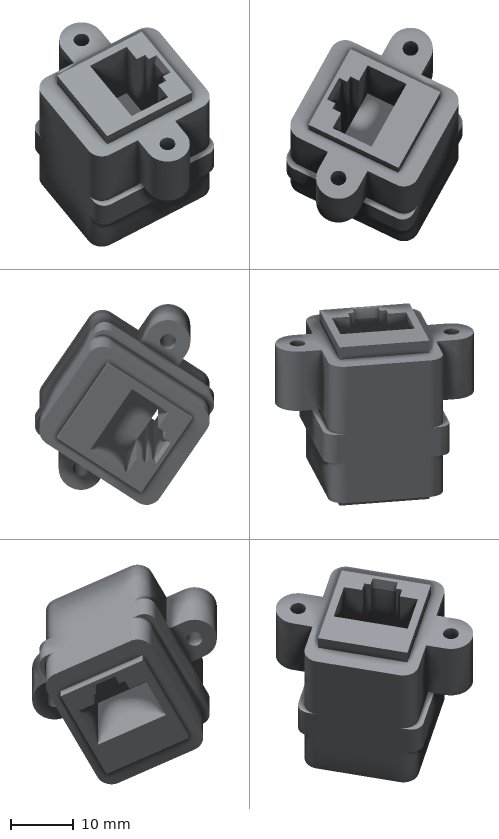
import cadquery as cq

total_length = 32.1
body_depth = 22.5

bottom_block_height = 1.67
lower_body_height = 6.93
collar_height = 4.95
upper_body_height = 11.55
top_block_height = 2.1

body_bottom = bottom_block_height
collar_bottom = body_bottom + lower_body_height
body_top = collar_bottom + collar_height + upper_body_height
part_top = body_top + top_block_height
middle = part_top / 2

body_width = 18.6
body_corner_radius = 2.5
collar_width = 20.48
collar_corner_radius = 2.0
block_width = 14.6
block_depth = 16.1

ear_width = 7.1
ear_height = 10.18
hole_diameter = 2.5
hole_offset = (total_length - ear_width) / 2

socket_width = 12.1
socket_front = -2.6
socket_back = 4.35
step_width = 6.2
step_back = 5.95
latch_width = 4.15
latch_back = 6.93
lead_in_run = 0.48
lead_in_depth = 1.57

partition_front = -2.05
partition_thickness = 3.2


def slab(width, front, back, bottom, top):
    """Box centred on X, placed by its Y and Z limits."""
    return (
        cq.Workplane("XY")
        .box(width, back - front, top - bottom, centered=(True, False, False))
        .translate((0, front, bottom))
    )


def centred_slab(width, depth, bottom, top):
    """Box centred on both X and Y."""
    return slab(width, -depth / 2, depth / 2, bottom, top)


def make_shell():
    """Rounded body with its collar and the end blocks."""
    body = centred_slab(body_width, body_depth, body_bottom, body_top)
    body = body.edges("|Z").fillet(body_corner_radius)
    collar = centred_slab(collar_width, body_depth, collar_bottom, collar_bottom + collar_height)
    collar = collar.edges("|Z").fillet(collar_corner_radius)
    blocks = centred_slab(block_width, block_depth, 0, part_top)
    return body.union(collar).union(blocks)


def make_ears():
    """Round-ended bar that crosses the body and forms both ears."""
    return (
        cq.Workplane("XY", origin=(0, 0, body_top))
        .slot2D(total_length, ear_width)
        .extrude(-ear_height)
    )


def make_ear_holes():
    return (
        cq.Workplane("XY", origin=(0, 0, body_top))
        .pushPoints([(-hole_offset, 0), (hole_offset, 0)])
        .circle(hole_diameter / 2)
        .extrude(-ear_height)
    )


def make_latch_slot():
    """Latch slot whose back wall flares outward at both ends."""
    flared_back = latch_back + lead_in_run
    return (
        cq.Workplane("YZ")
        .moveTo(socket_back, 0)
        .lineTo(flared_back, 0)
        .lineTo(latch_back, lead_in_depth)
        .lineTo(latch_back, part_top - lead_in_depth)
        .lineTo(flared_back, part_top)
        .lineTo(socket_back, part_top)
        .close()
        .extrude(latch_width / 2, both=True)
    )


def make_socket():
    """Opening through the part, interrupted by the partition at mid height."""
    opening = slab(socket_width, socket_front, socket_back, 0, part_top)
    step = slab(step_width, socket_back, step_back, 0, part_top)
    partition = slab(
        socket_width,
        partition_front,
        socket_back,
        middle - partition_thickness / 2,
        middle + partition_thickness / 2,
    )
    return opening.union(step).union(make_latch_slot()).cut(partition)


result = make_shell().union(make_ears()).cut(make_ear_holes()).cut(make_socket())